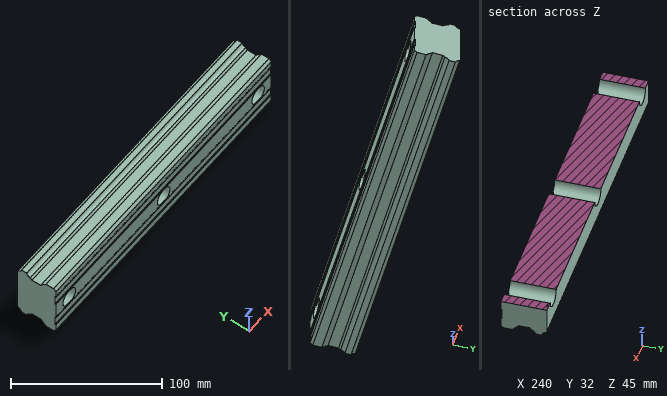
import cadquery as cq
import math

length = 240.0
height = 32.0
width = 45.0
head_y = height / 2
base_y = -height / 2
flank_z = width / 2

track_size = 3.0
head_bevel = 0.7
head_land = 4.3
track_sag = 0.6
sag_shift = track_sag * math.sqrt(0.5)
mid_inset = track_size / 2 - sag_shift
mid_depth = track_size / 2 + sag_shift

waist_depth = 4.3
waist_floor = 7.2
lower_bevel = waist_depth - track_size

base_chamfer = 2.0
relief_depth = 0.7
relief_inner_z = 7.2
relief_outer_z = 14.6

hole_diameter = 14.0
hole_pitch = 105.0
hole_count = 3

upper_track_y = head_y - head_bevel
land_top_y = upper_track_y - track_size
land_bottom_y = land_top_y - head_land
lower_track_y = land_bottom_y - track_size
waist_top_y = lower_track_y - lower_bevel
waist_bottom_y = waist_top_y - waist_floor
foot_top_y = waist_bottom_y - waist_depth

track_z = flank_z - track_size
waist_z = flank_z - waist_depth


def make_half_rail():
    """Extrude the +Z half of the profile, its tracks being shallow concave arcs."""
    profile = (
        cq.Workplane("YZ")
        .moveTo(base_y, 0)
        .lineTo(head_y, 0)
        .lineTo(head_y, track_z - head_bevel)
        .lineTo(upper_track_y, track_z)
        .threePointArc(
            (land_top_y + mid_inset, flank_z - mid_depth),
            (land_top_y, flank_z),
        )
        .lineTo(land_bottom_y, flank_z)
        .threePointArc(
            (land_bottom_y - mid_inset, flank_z - mid_depth),
            (lower_track_y, track_z),
        )
        .lineTo(waist_top_y, waist_z)
        .lineTo(waist_bottom_y, waist_z)
        .lineTo(foot_top_y, flank_z)
        .lineTo(base_y + base_chamfer, flank_z)
        .lineTo(base_y, flank_z - base_chamfer)
        .lineTo(base_y, relief_outer_z)
        .lineTo(base_y + relief_depth, relief_outer_z)
        .lineTo(base_y + relief_depth, relief_inner_z)
        .lineTo(base_y, relief_inner_z)
        .close()
    )
    return profile.extrude(length / 2, both=True)


def make_mounting_holes():
    """Make one cylinder along Y for each through hole, evenly spaced along X."""
    return (
        cq.Workplane("XZ", origin=(0, head_y, 0))
        .rarray(hole_pitch, 2.5, hole_count, 1)
        .circle(hole_diameter / 2)
        .extrude(height)
    )


half_rail = make_half_rail()
rail = half_rail.union(half_rail.mirror("XY")).clean()
result = rail.cut(make_mounting_holes())